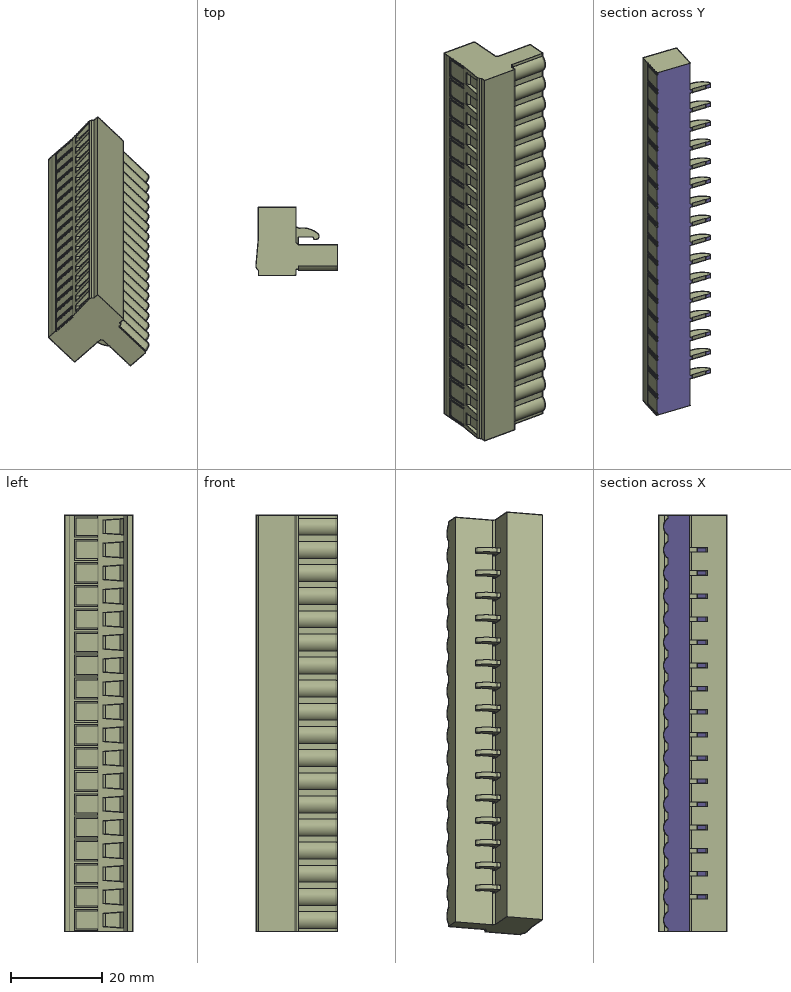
import cadquery as cq

pole_count = 18
pitch = 5.08
length = pole_count * pitch
pole_heights = [(index + 0.5) * pitch for index in range(pole_count)]

total_depth = 18.0
total_width = 15.0

block_back = 8.85
front_face = 0.5
slope_start = 7.7
rim_step = 0.05
rim_width = 1.05
nose_end = 2.0
nose_x = 0.2
nose_y = 1.5
foot_front = 0.55
foot_top = 1.15
back_chamfer_x = 0.3
back_chamfer_y = 0.08

neck_bottom = 1.35
neck_top = 7.2
neck_inside = 6.0
plug_start = 9.35
plug_web = 2.05
plug_top = 6.8
tip_chamfer_x = 0.35
tip_chamfer_y = 0.1

chamber_chord = 3.7
chamber_bottom = 1.05

latch_width = 1.0
latch_root_top = 10.7
latch_underside = 8.45
latch_inside = 8.5
latch_foot = 6.5
latch_shoulder = (9.5, 10.4)
latch_crown = (12.2, 10.1)
latch_tip_top = (13.75, 9.1)
latch_tip = (13.9, 8.5)
hook_bottom = 7.9
hook_bottom_end = 13.2
hook_bottom_start = 12.75
hook_start = 12.6

button_bottom = 7.8
button_window_top = 12.85
button_window_height = 4.6
button_gap = 0.35
button_gap_depth = 0.3

entry_bottom = 2.1
entry_top = 6.65
entry_height_top = 3.0
entry_height_bottom = 3.6
entry_lead_in = 0.6
entry_foot = 0.75
entry_depth = 1.1
entry_taper = 5.0


def make_block():
    """Housing block, its section swept along the whole length."""
    return (
        cq.Workplane("XY")
        .moveTo(foot_front, 0)
        .lineTo(block_back - back_chamfer_x, 0)
        .lineTo(block_back, back_chamfer_y)
        .lineTo(block_back, total_width)
        .lineTo(front_face + rim_step, total_width)
        .lineTo(front_face, total_width - rim_width)
        .lineTo(front_face, slope_start)
        .lineTo(0, nose_end)
        .lineTo(nose_x, nose_y)
        .lineTo(foot_front, foot_top)
        .close()
        .extrude(length)
    )


def make_plug():
    """Neck plate and plug body, full length."""
    neck = (
        cq.Workplane("XY")
        .moveTo(neck_inside, neck_bottom)
        .lineTo(plug_start, neck_bottom)
        .lineTo(plug_start, plug_top)
        .lineTo(block_back, neck_top)
        .lineTo(neck_inside, neck_top)
        .close()
        .extrude(length)
    )
    body = (
        cq.Workplane("XY")
        .moveTo(block_back, plug_web)
        .lineTo(total_depth - tip_chamfer_x, plug_web)
        .lineTo(total_depth, plug_web + tip_chamfer_y)
        .lineTo(total_depth, plug_top)
        .lineTo(block_back, plug_top)
        .close()
        .extrude(length)
    )
    return neck.union(body)


def make_chamber(z):
    """Rounded rib running along X below the plug web."""
    half_chord = chamber_chord / 2
    return (
        cq.Workplane("YZ", origin=(plug_start, 0, z))
        .moveTo(plug_top, -half_chord)
        .lineTo(plug_web, -half_chord)
        .threePointArc((chamber_bottom, 0), (plug_web, half_chord))
        .lineTo(plug_top, half_chord)
        .close()
        .extrude(total_depth - plug_start)
        .faces(">X")
        .edges("%CIRCLE")
        .chamfer(tip_chamfer_x, tip_chamfer_y)
    )


def make_latch(z):
    """Hooked arm behind the block, with its root down to the plug."""
    return (
        cq.Workplane("XY", origin=(0, 0, z - latch_width / 2))
        .moveTo(latch_inside, latch_foot)
        .lineTo(plug_start, latch_foot)
        .lineTo(plug_start, latch_underside)
        .lineTo(hook_start, latch_underside)
        .lineTo(hook_bottom_start, hook_bottom)
        .lineTo(hook_bottom_end, hook_bottom)
        .threePointArc(latch_tip, latch_tip_top)
        .threePointArc(latch_crown, latch_shoulder)
        .lineTo(block_back, latch_root_top)
        .lineTo(latch_inside, latch_root_top)
        .close()
        .extrude(latch_width)
    )


def make_button_groove(z):
    """U-shaped groove that sets the button apart from the front face."""
    depth = front_face + button_gap_depth
    window_width = button_window_top - button_bottom
    window = cq.Workplane("XY").box(depth, window_width, button_window_height, centered=(False, False, True))
    button = cq.Workplane("XY").box(
        depth,
        window_width - button_gap,
        button_window_height - 2 * button_gap,
        centered=(False, False, True),
    )
    return window.cut(button).translate((0, button_bottom, z))


def make_wire_entry(z):
    """Shallow funnel: an outline widening toward -Y over a flat floor with sloped ends."""
    deepest = entry_depth + front_face
    outline = (
        cq.Workplane("YZ", origin=(0, 0, z))
        .moveTo(entry_bottom, -entry_height_bottom / 2)
        .lineTo(entry_top, -entry_height_top / 2)
        .lineTo(entry_top, entry_height_top / 2)
        .lineTo(entry_bottom, entry_height_bottom / 2)
        .close()
        .extrude(deepest, taper=entry_taper)
    )
    floor = (
        cq.Workplane("XY", origin=(0, 0, z - pitch / 2))
        .moveTo(0, entry_bottom)
        .lineTo(0, entry_top)
        .lineTo(front_face, entry_top)
        .lineTo(entry_depth, entry_top - entry_lead_in)
        .lineTo(entry_depth, entry_bottom + entry_foot)
        .close()
        .extrude(pitch)
    )
    return outline.intersect(floor)


result = make_block().union(make_plug())
for pole_z in pole_heights:
    result = result.union(make_chamber(pole_z))
for pole_z in pole_heights[1:-1]:
    result = result.union(make_latch(pole_z))
for pole_z in pole_heights:
    result = result.cut(make_button_groove(pole_z)).cut(make_wire_entry(pole_z))